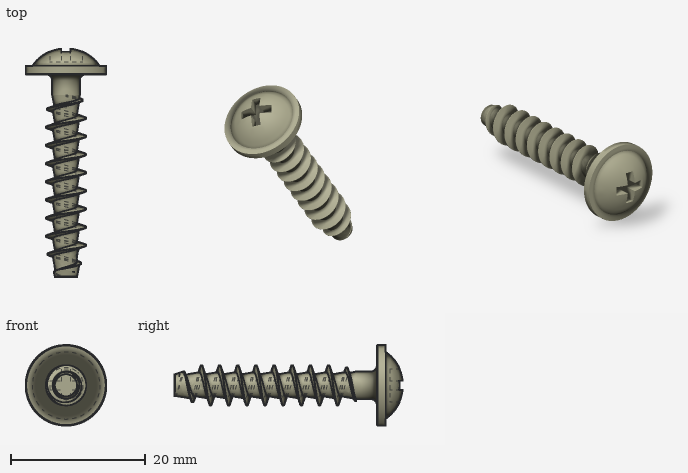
import cadquery as cq
import math


flange_radius = 6.0
flange_thickness = 1.3
flange_edge_chamfer = 0.12
dome_base_radius = 5.0
dome_height = 2.63

recess_span = 4.86
recess_wing_width = 1.34
recess_depth = 2.0

shank_length = 30.0
neck_radius = 2.08
neck_length = 3.0
neck_fillet = 0.8
core_radius = 1.64
lead_in_length = 2.1

pitch = 2.69
thread_radius = 3.0
crest_width = 0.08
root_width = 0.86
land_radius = 2.02
thread_start_radius = 2.35
land_tip_radius = 1.6
exit_slope = 0.35
limit_radius = thread_radius + 0.5

crest_position_on_x = 6.46
full_height_start = -0.25
full_height_end = 7.25
entry_turns = 1
exit_turns = 1.5

hidden_radius = core_radius - 0.25
land_overlap = 0.01
turn_gap = 0.02


def revolve_about_y(outline):
    return outline.close().revolve(360, (0, 0, 0), (0, 1, 0))


def make_head():
    """Flange and spherical dome, in one revolved outline."""
    sphere_radius = (dome_base_radius**2 + dome_height**2) / (2 * dome_height)
    sphere_centre = flange_thickness + dome_height - sphere_radius
    arc_mid_angle = (math.pi / 2 + math.asin((flange_thickness - sphere_centre) / sphere_radius)) / 2
    arc_middle = (
        sphere_radius * math.cos(arc_mid_angle),
        sphere_centre + sphere_radius * math.sin(arc_mid_angle),
    )
    outline = (
        cq.Workplane("XY")
        .lineTo(flange_radius - flange_edge_chamfer, 0)
        .lineTo(flange_radius, flange_edge_chamfer)
        .lineTo(flange_radius, flange_thickness)
        .lineTo(dome_base_radius, flange_thickness)
        .threePointArc(arc_middle, (0, flange_thickness + dome_height))
    )
    return revolve_about_y(outline)


def make_recess():
    """Cross of two equal slots, sunk from the top of the dome."""
    recess_middle = flange_thickness + dome_height - recess_depth / 2
    wing_on_x = cq.Workplane("XY").box(recess_span, recess_depth, recess_wing_width)
    wing_on_z = cq.Workplane("XY").box(recess_wing_width, recess_depth, recess_span)
    return wing_on_x.union(wing_on_z).translate((0, recess_middle, 0))


def make_shank_core():
    """Neck with its fillet under the flange, tapered lead-in and cylindrical core."""
    fillet_offset = neck_fillet * (1 - math.sqrt(0.5))
    outline = (
        cq.Workplane("XY")
        .moveTo(0, flange_thickness / 2)
        .lineTo(neck_radius + neck_fillet, flange_thickness / 2)
        .lineTo(neck_radius + neck_fillet, 0)
        .threePointArc((neck_radius + fillet_offset, -fillet_offset), (neck_radius, -neck_fillet))
        .lineTo(neck_radius, -neck_length)
        .lineTo(core_radius, -neck_length - lead_in_length)
        .lineTo(core_radius, -shank_length)
        .lineTo(0, -shank_length)
    )
    return revolve_about_y(outline)


def helix_sweep(outline, turns, cone_angle=360):
    """Sweep an (r, z) outline up a right-hand helix about Z.

    A negative cone angle sinks it towards the axis; 360 keeps it on a cylinder.
    """
    slant_pitch = pitch / math.cos(math.radians(cone_angle))
    helix = cq.Wire.makeHelix(slant_pitch, turns * slant_pitch, thread_radius, angle=cone_angle)
    return cq.Workplane("XZ").polyline(outline).close().sweep(cq.Workplane(obj=helix), isFrenet=True)


def place_on_shank(body, turns_from_reference):
    """Move a body from the Z axis to the shank, along the thread helix."""
    turned = body.rotate((0, 0, 0), (0, 0, 1), 360 * turns_from_reference)
    moved = turned.translate((0, 0, crest_position_on_x + pitch * turns_from_reference))
    return moved.rotate((0, 0, 0), (1, 0, 0), 90)


def make_ridge():
    """Thread ridge: full height in the middle, fading at both ends."""
    half_crest = crest_width / 2
    flank_slope = (root_width - crest_width) / 2 / (thread_radius - core_radius)
    half_base = half_crest + flank_slope * (thread_radius - hidden_radius)
    outline = [
        (hidden_radius, -half_base),
        (thread_radius, -half_crest),
        (thread_radius, half_crest),
        (hidden_radius, half_base),
    ]
    entry_drop_per_turn = thread_radius - thread_start_radius
    entry_angle = -math.degrees(math.atan(entry_drop_per_turn / pitch))
    exit_angle = -math.degrees(math.atan(exit_slope))

    full = helix_sweep(outline, full_height_end - full_height_start)
    entry = helix_sweep(outline, entry_turns, entry_angle).rotate((0, 0, 0), (1, 0, 0), 180)
    exit_fade = helix_sweep(outline, exit_turns, exit_angle)
    return (
        place_on_shank(full, full_height_start)
        .union(place_on_shank(entry, full_height_start))
        .union(place_on_shank(exit_fade, full_height_end))
    )


def make_land():
    """Helical land that slopes down from one turn of the ridge to the root of the next."""
    land_end = pitch - root_width / 2 - turn_gap
    outline = [
        (hidden_radius, 0),
        (land_radius, 0),
        (core_radius - land_overlap, land_end),
        (hidden_radius, land_end),
    ]
    first_turn = full_height_start - entry_turns
    last_turn = (shank_length - crest_position_on_x) / pitch
    return place_on_shank(helix_sweep(outline, last_turn - first_turn + 1), first_turn)


def make_thread_limit():
    """Threaded length of the shank, narrowing to the tip."""
    taper_length = (limit_radius - land_tip_radius) / exit_slope
    outline = (
        cq.Workplane("XY")
        .moveTo(0, -neck_length)
        .lineTo(limit_radius, -neck_length)
        .lineTo(limit_radius, -shank_length + taper_length)
        .lineTo(land_tip_radius, -shank_length)
        .lineTo(0, -shank_length)
    )
    return revolve_about_y(outline)


head = make_head().cut(make_recess())
screw_body = head.union(make_shank_core())
thread_limit = make_thread_limit()
ridge = make_ridge().intersect(thread_limit)
land = make_land().intersect(thread_limit)
result = screw_body.union(land).union(ridge)